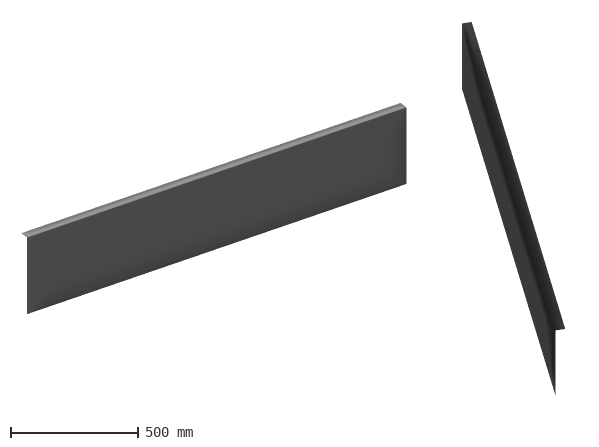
import cadquery as cq

length = 1800.0
height = 350.0
flange_width = 40.0

sheet_thickness = 1.5
inner_bend_radius = 2.5
outer_bend_radius = inner_bend_radius + sheet_thickness

section = [
    (0, 0),
    (0, height),
    (-flange_width, height),
    (-flange_width, height - sheet_thickness),
    (-sheet_thickness, height - sheet_thickness),
    (-sheet_thickness, 0),
]

sheet = cq.Workplane("XZ").polyline(section).close().extrude(-length)

inner_corner = cq.NearestToPointSelector((-sheet_thickness, length / 2, height - sheet_thickness))
sheet = sheet.edges(inner_corner).fillet(inner_bend_radius)
result = sheet.edges("|Y and >X and >Z").fillet(outer_bend_radius)